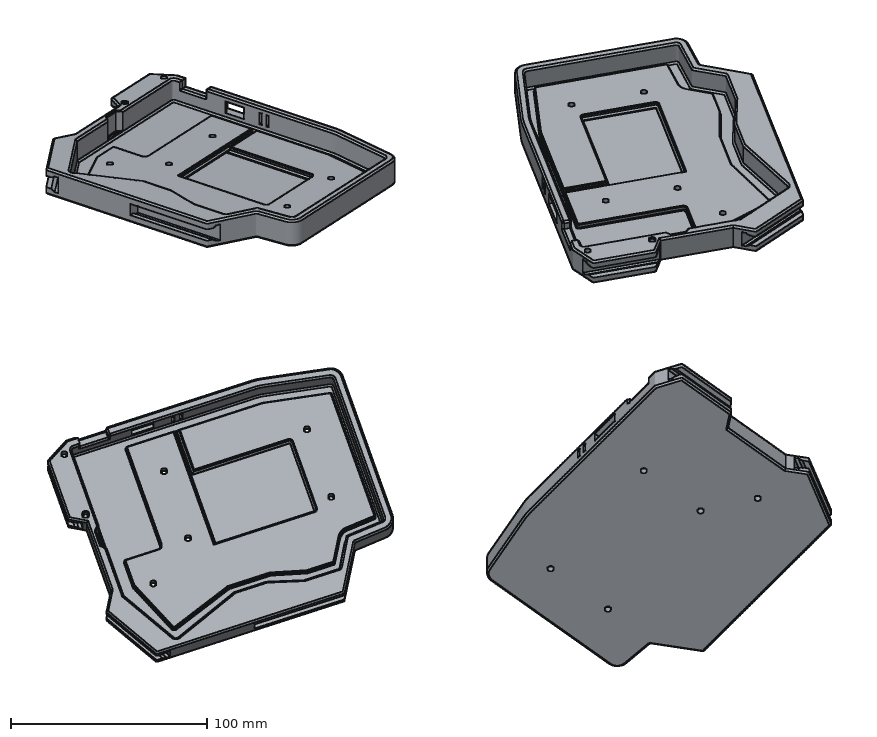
import cadquery as cq
import math

LENGTH = 157.19
WIDTH = 123.32
HEIGHT = 15.0
EDGE_CHAMFER = 1.0

FLOOR_Z = 2.0
PLATEAU_Z = 4.7
WELL_Z = 1.4

TAN_60 = math.tan(math.radians(60))
TAN_30 = math.tan(math.radians(30))
TAN_10 = math.tan(math.radians(10))
TAN_5 = math.tan(math.radians(5))

WAIST_X = 8.2
LOWER_TIP_X = 2.2
LOWER_TIP_Y = 29.5
UPPER_TIP_TOP_Y = 116.0
UPPER_TIP_BOTTOM_Y = 82.9
FRONT_LEFT_X = LOWER_TIP_X + LOWER_TIP_Y / TAN_60
FRONT_RIGHT_X = 120.4
NECK_Y = 24.0
NECK_X = FRONT_RIGHT_X + NECK_Y / TAN_60
BACK_BEND_X = 115.0
TIP_RADIUS = 1.2
BACK_BEND_RADIUS = 30.0
CORNER_RADIUS = 6.5

WALL = 5.0
CAVITY_LEFT_X = 13.5
CAVITY_FRONT_RIGHT_Y = 13.4
CAVITY_FRONT_MIDDLE_Y = 18.8
FLOOR_CHAMFER = 1.0
CAVITY_CORNER_RADIUS = 1.5
CAVITY_LARGE_RADIUS = 2.0

STEP_CHAMFER = 0.5
WELL_FLOOR_CHAMFER = 1.0
PLATEAU_LEFT_X = 20.5
PLATEAU_STEP_X = 40.8
PLATEAU_STEP_Y = 56.6
PLATEAU_RIGHT_X = 150.2
PLATEAU_BACK_Y = 113.8
PLATEAU_FRONT_MIDDLE_Y = 24.8
PLATEAU_FRONT_RIGHT_Y = 19.9
PLATEAU_CORNER_RADIUS = 1.5
PLATEAU_NECK_RADIUS = 6.0
WELL_X = (66.7, 122.9)
WELL_Y = (49.0, 90.5)
CHANNEL_WIDTH = 3.6

SLOT_DEPTH = 6.5
SLOT_LIP = 2.8
SLOT_FLARE_END = 4.7
SLOT_MOUTH = 6.5
SLOT_FLOOR = 9.0
SLOT_OVERRUN = 7.0
FRONT_SLOT_START_X = 72.1

SCREW_DIAMETER = 3.2
SCREW_CENTRES = [(55.5, 94.6), (55.5, 56.7), (131.7, 92.4), (131.7, 54.2), (30.9, 39.4)]
PIN_DIAMETER = 3.2
PIN_DEPTH = 5.0
BACK_PIN_CENTRE = (9.2, 116.4)
FRONT_PIN_CENTRE = (9.1, 82.4)
COUNTERBORE_DIAMETER = 3.7
COUNTERBORE_DEPTH = 1.0

NOTCH_X = (18.6, 33.6)
NOTCH_Z = 10.2
OPENING_Z = (5.2, 11.7)
WINDOW_X = (46.3, 58.1)
WINDOW_SKIN = 1.5
PLUG_MARGIN = 2.0
SLIT_X = (67.8, 72.1)
SLIT_WIDTH = 1.5

RECESS_Y = (62.7, 73.7)
RECESS_BACK_X = 11.0

OVERCUT = 1.0


def prism(corners, bottom, top, taper=0):
    """Extrude a closed outline of (x, y, corner radius) between two heights.

    A positive taper angle narrows the prism upwards and a negative one widens it.
    """
    count = len(corners)
    pieces = []
    for i in range(count):
        x, y, radius = corners[i]
        before = corners[i - 1]
        after = corners[(i + 1) % count]
        to_before = cq.Vector(before[0] - x, before[1] - y).normalized()
        to_after = cq.Vector(after[0] - x, after[1] - y).normalized()
        corner = cq.Vector(x, y)
        if radius == 0:
            pieces.append((corner, corner, corner))
            continue
        half_angle = to_before.getAngle(to_after) / 2
        reach = radius / math.tan(half_angle)
        sagitta_reach = radius / math.sin(half_angle) - radius
        middle = corner + (to_before + to_after).normalized() * sagitta_reach
        pieces.append((corner + to_before * reach, middle, corner + to_after * reach))
    outline = cq.Workplane("XY", origin=(0, 0, bottom)).moveTo(*pieces[0][2].toTuple()[:2])
    for start, middle, end in pieces[1:] + pieces[:1]:
        outline = outline.lineTo(*start.toTuple()[:2])
        if start != end:
            outline = outline.threePointArc(middle.toTuple()[:2], end.toTuple()[:2])
    return outline.close().extrude(top - bottom, taper=taper)


def box(x_range, y_range, z_range):
    size = [r[1] - r[0] for r in (x_range, y_range, z_range)]
    return cq.Workplane("XY").box(*size, centered=False).translate((x_range[0], y_range[0], z_range[0]))


def make_shell():
    outer = [
        (FRONT_LEFT_X, 0, TIP_RADIUS),
        (FRONT_RIGHT_X, 0, TIP_RADIUS),
        (NECK_X, NECK_Y, TIP_RADIUS),
        (LENGTH, NECK_Y + (LENGTH - NECK_X) * TAN_5, CORNER_RADIUS),
        (LENGTH, WIDTH - (LENGTH - BACK_BEND_X) * TAN_10, CORNER_RADIUS),
        (BACK_BEND_X, WIDTH, BACK_BEND_RADIUS),
        ((WIDTH - UPPER_TIP_TOP_Y) / TAN_30, WIDTH, TIP_RADIUS),
        (0, UPPER_TIP_TOP_Y, TIP_RADIUS),
        (0, UPPER_TIP_BOTTOM_Y, TIP_RADIUS),
        (WAIST_X, UPPER_TIP_BOTTOM_Y - WAIST_X * TAN_30, 0),
        (WAIST_X, LOWER_TIP_Y + (WAIST_X - LOWER_TIP_X) * TAN_60, 0),
        (LOWER_TIP_X, LOWER_TIP_Y, TIP_RADIUS),
    ]
    right = LENGTH - WALL
    back = WIDTH - WALL
    cavity = [
        (31.15, 4.4, CAVITY_LARGE_RADIUS),
        (67.6, CAVITY_FRONT_MIDDLE_Y, 0),
        (84.9, CAVITY_FRONT_MIDDLE_Y, 0),
        (103.3, CAVITY_FRONT_RIGHT_Y, 0),
        (122.5, CAVITY_FRONT_RIGHT_Y, CAVITY_CORNER_RADIUS),
        (131.3, 28.9, CAVITY_CORNER_RADIUS),
        (right, 30.7, CAVITY_CORNER_RADIUS),
        (right, back - (right - BACK_BEND_X) * TAN_10, CAVITY_LARGE_RADIUS),
        (BACK_BEND_X, back, BACK_BEND_RADIUS - WALL),
        (CAVITY_LEFT_X, back, CAVITY_CORNER_RADIUS),
        (CAVITY_LEFT_X, 35.0, 0),
    ]
    pocket = prism(cavity, FLOOR_Z, HEIGHT).faces("<Z").chamfer(FLOOR_CHAMFER)
    block = prism(outer, 0, HEIGHT).faces(">Z or <Z").chamfer(EDGE_CHAMFER)
    flare = prism(cavity, HEIGHT - EDGE_CHAMFER, HEIGHT, taper=-45)
    return block.cut(pocket).cut(flare)


def make_plateau():
    corners = [
        (32.7, 12.4, PLATEAU_CORNER_RADIUS),
        (66.7, PLATEAU_FRONT_MIDDLE_Y, 0),
        (89.0, PLATEAU_FRONT_MIDDLE_Y, 0),
        (107.1, PLATEAU_FRONT_RIGHT_Y, 0),
        (122.0, PLATEAU_FRONT_RIGHT_Y, PLATEAU_CORNER_RADIUS),
        (130.6, 34.8, PLATEAU_NECK_RADIUS),
        (PLATEAU_RIGHT_X, 36.5, PLATEAU_CORNER_RADIUS),
        (PLATEAU_RIGHT_X, PLATEAU_BACK_Y - (PLATEAU_RIGHT_X - BACK_BEND_X) * TAN_10, PLATEAU_CORNER_RADIUS),
        (BACK_BEND_X, PLATEAU_BACK_Y, 0),
        (PLATEAU_STEP_X, PLATEAU_BACK_Y, PLATEAU_CORNER_RADIUS),
        (PLATEAU_STEP_X, PLATEAU_STEP_Y, PLATEAU_CORNER_RADIUS),
        (PLATEAU_LEFT_X, PLATEAU_STEP_Y, PLATEAU_CORNER_RADIUS),
        (PLATEAU_LEFT_X, 41.4, 0),
    ]
    foot = prism(corners, FLOOR_Z, FLOOR_Z + STEP_CHAMFER, taper=45)
    upper = foot.faces(">Z").wires().toPending().workplane().extrude(PLATEAU_Z - FLOOR_Z - STEP_CHAMFER)

    left, right = (WELL_X[0] + STEP_CHAMFER, WELL_X[1] - STEP_CHAMFER)
    front, back = (WELL_Y[0] + STEP_CHAMFER, WELL_Y[1] - STEP_CHAMFER)
    channel_right = WELL_X[0] + CHANNEL_WIDTH - STEP_CHAMFER
    channel_end = PLATEAU_BACK_Y + WELL_FLOOR_CHAMFER
    well = prism(
        [
            (left, front, 0),
            (right, front, PLATEAU_CORNER_RADIUS),
            (right, back, PLATEAU_CORNER_RADIUS),
            (channel_right, back, 0),
            (channel_right, channel_end, 0),
            (left, channel_end, 0),
        ],
        FLOOR_Z,
        PLATEAU_Z,
    )
    well = well.faces("<Z").chamfer(WELL_FLOOR_CHAMFER)
    plateau = foot.union(upper).cut(well).faces(">Z").chamfer(STEP_CHAMFER)
    deepening = well.faces("<Z").wires().toPending().workplane().extrude(FLOOR_Z - WELL_Z, combine=False)
    return plateau, deepening


def slot(start, end, start_overrun, end_overrun):
    """T slot tool along an outline edge, with the part on the left of start -> end."""
    edge = cq.Vector(end[0] - start[0], end[1] - start[1])
    along = edge.normalized()
    inward = cq.Vector(-along.y, along.x)
    origin = cq.Vector(start[0], start[1], HEIGHT / 2) - along * start_overrun
    plane = cq.Plane(origin=origin, xDir=inward, normal=along)
    upper_half = [
        (-OVERCUT, SLOT_MOUTH / 2),
        (SLOT_LIP, SLOT_MOUTH / 2),
        (SLOT_FLARE_END, SLOT_FLOOR / 2),
        (SLOT_DEPTH, SLOT_FLOOR / 2),
    ]
    lower_half = [(depth, -height) for depth, height in reversed(upper_half)]
    length = edge.Length + start_overrun + end_overrun
    return cq.Workplane(plane).polyline(upper_half + lower_half).close().extrude(length)


def make_pin_hole(centre):
    hole = cq.Workplane("XY", origin=(*centre, HEIGHT - PIN_DEPTH))
    return hole.circle(PIN_DIAMETER / 2).extrude(PIN_DEPTH)


def make_counterbore(centre):
    bore = cq.Workplane("XY", origin=(*centre, HEIGHT - COUNTERBORE_DEPTH))
    return bore.circle(COUNTERBORE_DIAMETER / 2).extrude(COUNTERBORE_DEPTH)


def make_notch():
    """Cut in the back wall rim, chamfered on both wall faces and on the top edge of its right end."""
    left, right = NOTCH_X
    flank_top = HEIGHT - EDGE_CHAMFER
    profile = [
        (left, NOTCH_Z),
        (right, NOTCH_Z),
        (right, flank_top),
        (right + 2 * EDGE_CHAMFER, HEIGHT + EDGE_CHAMFER),
        (left, HEIGHT + EDGE_CHAMFER),
    ]

    def layer(y, length, taper):
        plane = cq.Workplane("XZ", origin=(0, y, 0))
        return plane.polyline(profile).close().extrude(length, taper=taper)

    inside = WIDTH - WALL
    through = layer(WIDTH, WALL, 0)
    inner_flare = layer(inside + EDGE_CHAMFER, EDGE_CHAMFER, -45)
    outer_flare = layer(WIDTH - EDGE_CHAMFER, -EDGE_CHAMFER, -45)
    return through.union(inner_flare).union(outer_flare)


def make_window():
    """Opening in the back wall that widens into a plug recess on the outside."""
    inside = WIDTH - WALL - OVERCUT
    window = box(WINDOW_X, (inside, WIDTH + OVERCUT), OPENING_Z)
    plug_x = (WINDOW_X[0] - PLUG_MARGIN, WINDOW_X[1] + PLUG_MARGIN)
    plug_y = (WIDTH - WALL + WINDOW_SKIN, WIDTH + OVERCUT)
    return window.union(box(plug_x, plug_y, OPENING_Z))


def make_slit(x):
    return box((x, x + SLIT_WIDTH), (WIDTH - WALL - OVERCUT, WIDTH + OVERCUT), OPENING_Z)


def make_recess():
    """Shallow recess in the left wall with 45 degree ends."""
    depth = CAVITY_LEFT_X - RECESS_BACK_X
    front, back = RECESS_Y
    corners = [
        (CAVITY_LEFT_X, front - EDGE_CHAMFER, 0),
        (CAVITY_LEFT_X, back + EDGE_CHAMFER, 0),
        (RECESS_BACK_X, back + EDGE_CHAMFER - depth, 0),
        (RECESS_BACK_X, front - EDGE_CHAMFER + depth, 0),
    ]
    bottom = FLOOR_Z + FLOOR_CHAMFER
    flare = prism(corners, HEIGHT - STEP_CHAMFER, HEIGHT, taper=-45)
    return prism(corners, bottom, HEIGHT).faces("<Z").chamfer(STEP_CHAMFER).union(flare)


lower_tip = (LOWER_TIP_X, LOWER_TIP_Y)
front_left = (FRONT_LEFT_X, 0)
front_right = (FRONT_RIGHT_X, 0)
upper_tip_top = (0, UPPER_TIP_TOP_Y)
upper_tip_bottom = (0, UPPER_TIP_BOTTOM_Y)

plateau, well_deepening = make_plateau()
body = make_shell().union(plateau).cut(well_deepening)

body = body.cut(slot(lower_tip, front_left, SLOT_OVERRUN, SLOT_OVERRUN))
body = body.cut(slot(upper_tip_top, upper_tip_bottom, SLOT_OVERRUN, SLOT_OVERRUN))
body = body.cut(slot((FRONT_SLOT_START_X, 0), front_right, 0, SLOT_OVERRUN))

body = body.cut(cq.Workplane("XY").pushPoints(SCREW_CENTRES).circle(SCREW_DIAMETER / 2).extrude(HEIGHT))
for pin_centre in (BACK_PIN_CENTRE, FRONT_PIN_CENTRE):
    body = body.cut(make_pin_hole(pin_centre))
body = body.cut(make_counterbore(FRONT_PIN_CENTRE))

body = body.cut(make_notch()).cut(make_window())
for slit_x in SLIT_X:
    body = body.cut(make_slit(slit_x))
body = body.cut(make_recess())

result = body